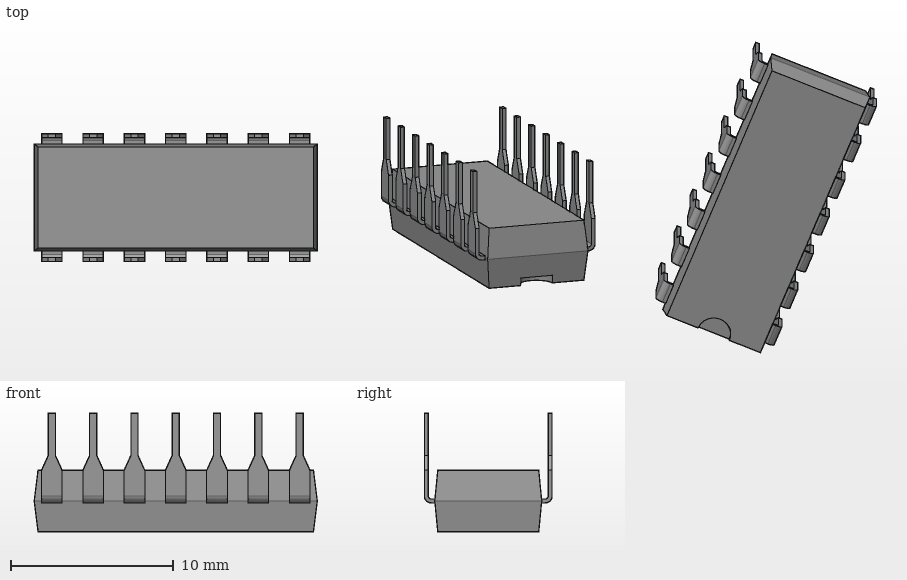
import cadquery as cq
import math

body_length = 17.42
body_width = 6.59
body_height = 3.8
parting_z = body_height / 2
end_draft = 7.0
side_draft = 5.5

notch_radius = 1.04
notch_depth = 0.5

leads_per_row = 7
lead_pitch = 2.54
row_span = 7.87
lead_thickness = 0.25
bend_outer_radius = 0.43
bend_inner_radius = bend_outer_radius - lead_thickness
blade_width = 1.27
tip_width = 0.45
shoulder_z = body_height
neck_z = 4.7
tip_z = 7.3

end_inset = parting_z * math.tan(math.radians(end_draft))
side_inset = parting_z * math.tan(math.radians(side_draft))
face_length = body_length - 2 * end_inset
face_width = body_width - 2 * side_inset

lead_bottom = parting_z - lead_thickness / 2
lead_root = face_width / 2


def body_half(face_z):
    """Half of the body, from the parting plane to the flat face at face_z."""
    return (
        cq.Workplane("XY", origin=(0, 0, parting_z))
        .rect(body_length, body_width)
        .workplane(offset=face_z - parting_z)
        .rect(face_length, face_width)
        .loft(ruled=True)
    )


def index_notch():
    """Cylinder centred on the bottom edge of the -X end."""
    return (
        cq.Workplane("XY")
        .center(-face_length / 2, 0)
        .circle(notch_radius)
        .extrude(notch_depth)
    )


def lead():
    """One lead of the +Y row at X = 0: a bent strip trimmed to its blade and tip outline."""
    outer_y = row_span / 2
    inner_y = outer_y - lead_thickness
    bend_y = outer_y - bend_outer_radius
    bend_z = lead_bottom + bend_outer_radius
    diagonal = math.cos(math.radians(45))
    strip = (
        cq.Workplane("YZ")
        .moveTo(lead_root, lead_bottom)
        .lineTo(bend_y, lead_bottom)
        .threePointArc(
            (bend_y + bend_outer_radius * diagonal, bend_z - bend_outer_radius * diagonal),
            (outer_y, bend_z),
        )
        .lineTo(outer_y, tip_z)
        .lineTo(inner_y, tip_z)
        .lineTo(inner_y, bend_z)
        .threePointArc(
            (bend_y + bend_inner_radius * diagonal, bend_z - bend_inner_radius * diagonal),
            (bend_y, lead_bottom + lead_thickness),
        )
        .lineTo(lead_root, lead_bottom + lead_thickness)
        .close()
        .extrude(blade_width / 2, both=True)
    )
    outline = (
        cq.Workplane("XZ")
        .moveTo(-blade_width / 2, 0)
        .lineTo(-blade_width / 2, shoulder_z)
        .lineTo(-tip_width / 2, neck_z)
        .lineTo(-tip_width / 2, tip_z)
        .lineTo(tip_width / 2, tip_z)
        .lineTo(tip_width / 2, neck_z)
        .lineTo(blade_width / 2, shoulder_z)
        .lineTo(blade_width / 2, 0)
        .close()
        .extrude(-row_span)
    )
    return strip.intersect(outline)


result = body_half(body_height).union(body_half(0)).cut(index_notch())

back_lead = lead()
front_lead = back_lead.mirror("XZ")
for index in range(leads_per_row):
    lead_x = (index - (leads_per_row - 1) / 2) * lead_pitch
    result = result.union(back_lead.translate((lead_x, 0, 0)))
    result = result.union(front_lead.translate((lead_x, 0, 0)))